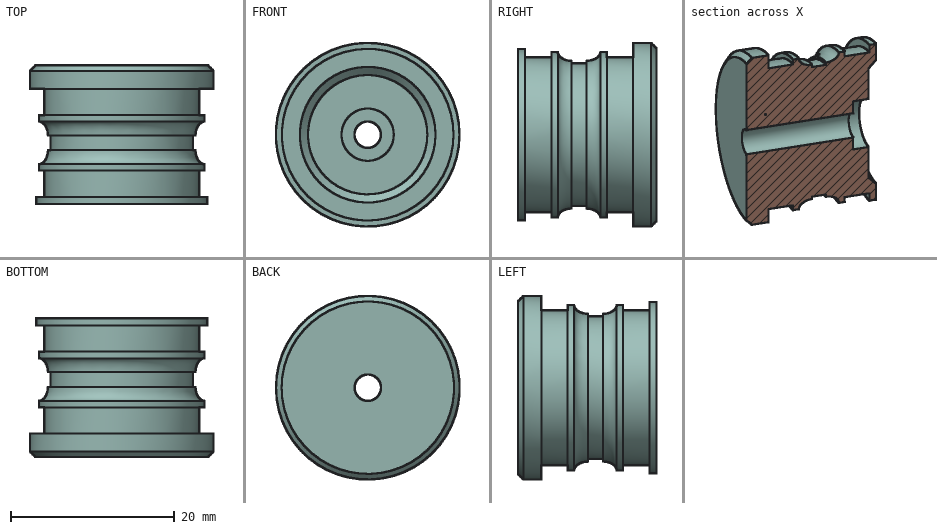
import cadquery as cq

length = 17.0
front_flange_width = 0.9
back_flange_width = 2.9
back_chamfer = 0.7
side_groove_width = 3.2
rib_width = 0.8
flare_width = 1.7

back_flange_radius = 11.25
front_flange_radius = 10.5
side_groove_radius = 9.5
rib_radius = 10.15
flare_foot_radius = 9.05
waist_radius = 8.75

recess_mouth_radius = 8.3
recess_floor_radius = 7.3
recess_depth = 1.0
counterbore_radius = 3.2
counterbore_depth = 2.0
bore_radius = 1.6

flare_height = rib_radius - flare_foot_radius

front_rib_start = front_flange_width + side_groove_width
front_rib_end = front_rib_start + rib_width
front_flare_foot = front_rib_end + flare_width
back_groove_end = length - back_flange_width
back_rib_end = back_groove_end - side_groove_width
back_rib_start = back_rib_end - rib_width
back_flare_foot = back_rib_start - flare_width


def build_body():
    """Revolve the spool's outer profile (radius, distance from front) about Y."""
    profile = (
        cq.Workplane("XY")
        .moveTo(0, 0)
        .lineTo(front_flange_radius, 0)
        .lineTo(front_flange_radius, front_flange_width)
        .lineTo(side_groove_radius, front_flange_width)
        .lineTo(side_groove_radius, front_rib_start)
        .lineTo(rib_radius, front_rib_start)
        .lineTo(rib_radius, front_rib_end)
        .ellipseArc(flare_height, flare_width, 180, 270, sense=-1)
        .lineTo(waist_radius, front_flare_foot)
        .lineTo(waist_radius, back_flare_foot)
        .lineTo(flare_foot_radius, back_flare_foot)
        .ellipseArc(flare_height, flare_width, 90, 180, sense=-1)
        .lineTo(rib_radius, back_rib_end)
        .lineTo(side_groove_radius, back_rib_end)
        .lineTo(side_groove_radius, back_groove_end)
        .lineTo(back_flange_radius, back_groove_end)
        .lineTo(back_flange_radius, length - back_chamfer)
        .lineTo(back_flange_radius - back_chamfer, length)
        .lineTo(0, length)
        .close()
    )
    return profile.revolve(360, (0, 0), (0, 1))


def build_bore():
    """Tapered front recess, counterbore and through hole as one revolved cutter."""
    counterbore_floor = recess_depth + counterbore_depth
    profile = (
        cq.Workplane("XY")
        .moveTo(0, 0)
        .lineTo(recess_mouth_radius, 0)
        .lineTo(recess_floor_radius, recess_depth)
        .lineTo(counterbore_radius, recess_depth)
        .lineTo(counterbore_radius, counterbore_floor)
        .lineTo(bore_radius, counterbore_floor)
        .lineTo(bore_radius, length)
        .lineTo(0, length)
        .close()
    )
    return profile.revolve(360, (0, 0), (0, 1))


result = build_body().cut(build_bore()).translate((0, -length / 2, 0))